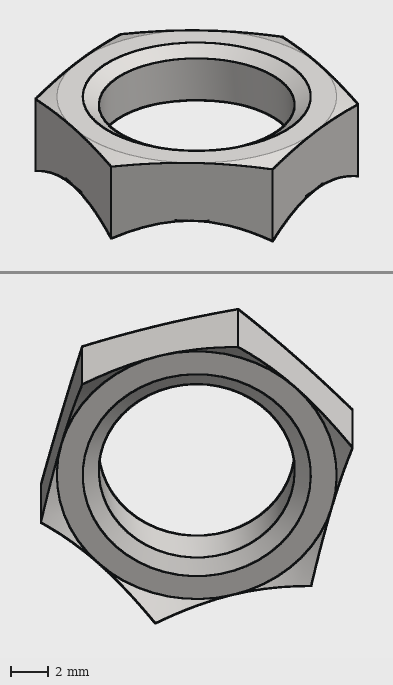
import cadquery as cq
import math

corner_radius = 8.66
height = 4.7
bore_radius = 5.25
countersink_radius = 6.11
countersink_angle = 30.0
crown_angle = 15.0
recess_angle = 45.0

hexagon_sides = 6
flat_radius = corner_radius * math.cos(math.pi / hexagon_sides)
corner_overhang = corner_radius - flat_radius
crown_drop = corner_overhang * math.tan(math.radians(crown_angle))
recess_height = corner_overhang * math.tan(math.radians(recess_angle))
countersink_depth = (countersink_radius - bore_radius) * math.tan(math.radians(countersink_angle))


def make_turned_blank():
    """Ring with a conical crown, a hollow underside and a countersunk bore."""
    section = [
        (bore_radius, recess_height + countersink_depth),
        (countersink_radius, recess_height),
        (flat_radius, recess_height),
        (corner_radius, 0),
        (corner_radius, height - crown_drop),
        (flat_radius, height),
        (countersink_radius, height),
        (bore_radius, height - countersink_depth),
    ]
    return cq.Workplane("XZ").polyline(section).close().revolve(360, (0, 0, 0), (0, 1, 0))


def make_hexagon_prism():
    """Hexagon with corners on the Y axis and flats facing X."""
    return (
        cq.Workplane("XY")
        .transformed(rotate=(0, 0, 90))
        .polygon(hexagon_sides, 2 * corner_radius)
        .extrude(height)
    )


result = make_hexagon_prism().intersect(make_turned_blank())